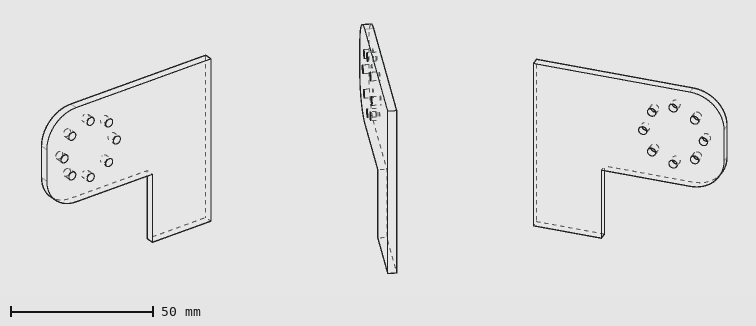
import cadquery as cq

thickness = 3.2
length = 71.1
height = 65.5

arm_height = 38.05
leg_width = 25.4
corner_radius = arm_height / 3

hole_count = 8
hole_diameter = 3.05
hole_circle_radius = 11.3
ring_y = arm_height / 2
ring_z = height - arm_height / 2


def make_plate():
    """L-shaped plate with the arm tip at Y = 0 and the leg foot at Z = 0."""
    arm_bottom = height - arm_height
    leg_inner = length - leg_width
    outline = [
        (0, arm_bottom),
        (leg_inner, arm_bottom),
        (leg_inner, 0),
        (length, 0),
        (length, height),
        (0, height),
    ]
    plate = cq.Workplane("YZ").polyline(outline).close().extrude(thickness)
    return plate.edges("|X and <Y").fillet(corner_radius)


def make_hole_ring():
    """Cylinders for the evenly spaced through holes."""
    return (
        cq.Workplane("YZ")
        .center(ring_y, ring_z)
        .polarArray(hole_circle_radius, 0, 360, hole_count)
        .circle(hole_diameter / 2)
        .extrude(thickness)
    )


result = make_plate().cut(make_hole_ring())